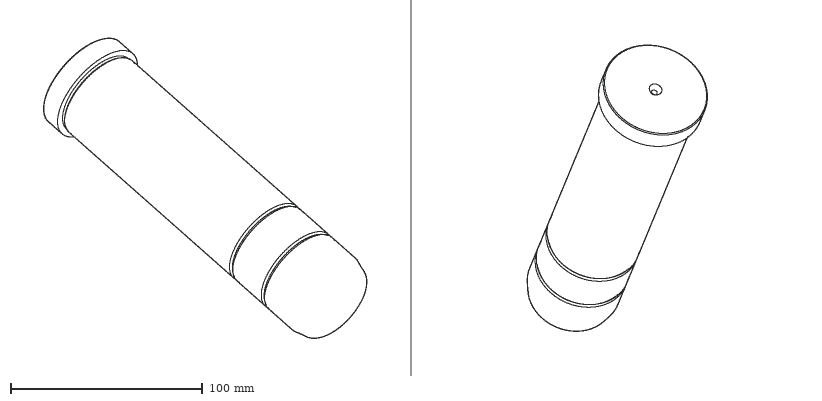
import cadquery as cq
import math

length = 200.0
head_radius = 28.0
head_length = 11.5
head_chamfer = 0.5
body_radius = 25.0

relief_depth = 0.5
relief_end = 13.2
relief_slope_length = 0.5

groove_starts = (143.5, 168.5)
groove_width = 2.5
groove_depth = 0.8

nose_length = 10.2
nose_angle = math.radians(15)
tip_round = 4.0

centre_mouth_radius = 3.5
centre_bore_radius = 1.5
centre_cone_half_angle = math.radians(30)
centre_bore_length = 4.0
drill_tip_half_angle = math.radians(59)


def make_pillar():
    """Revolve the half profile, drawn as (axial position, radius)."""
    relief_radius = body_radius - relief_depth
    nose_start = length - nose_length
    tip_start = length - tip_round * (1 - math.sin(nose_angle))
    tip_start_radius = body_radius - (tip_start - nose_start) * math.tan(nose_angle)
    tip_centre_radius = tip_start_radius - tip_round * math.cos(nose_angle)
    tip_mid_angle = (math.pi / 2 - nose_angle) / 2
    tip_middle = (
        length - tip_round * (1 - math.cos(tip_mid_angle)),
        tip_centre_radius + tip_round * math.sin(tip_mid_angle),
    )

    profile = (
        cq.Workplane("XY")
        .moveTo(0, 0)
        .lineTo(0, head_radius - head_chamfer)
        .lineTo(head_chamfer, head_radius)
        .lineTo(head_length, head_radius)
        .lineTo(head_length, relief_radius)
        .lineTo(relief_end, relief_radius)
        .lineTo(relief_end + relief_slope_length, body_radius)
    )
    for start in groove_starts:
        profile = (
            profile.lineTo(start, body_radius)
            .lineTo(start + groove_width / 2, body_radius - groove_depth)
            .lineTo(start + groove_width, body_radius)
        )
    profile = (
        profile.lineTo(nose_start, body_radius)
        .lineTo(tip_start, tip_start_radius)
        .threePointArc(tip_middle, (length, tip_centre_radius))
        .lineTo(length, 0)
        .close()
    )
    return profile.revolve(360, (0, 0, 0), (1, 0, 0))


def make_centre_drilling():
    """Conical mouth, short bore and pointed bottom."""
    cone_depth = (centre_mouth_radius - centre_bore_radius) / math.tan(centre_cone_half_angle)
    bore_end = cone_depth + centre_bore_length
    point_depth = bore_end + centre_bore_radius / math.tan(drill_tip_half_angle)
    return (
        cq.Workplane("XY")
        .moveTo(0, 0)
        .lineTo(0, centre_mouth_radius)
        .lineTo(cone_depth, centre_bore_radius)
        .lineTo(bore_end, centre_bore_radius)
        .lineTo(point_depth, 0)
        .close()
        .revolve(360, (0, 0, 0), (1, 0, 0))
    )


result = make_pillar().cut(make_centre_drilling())